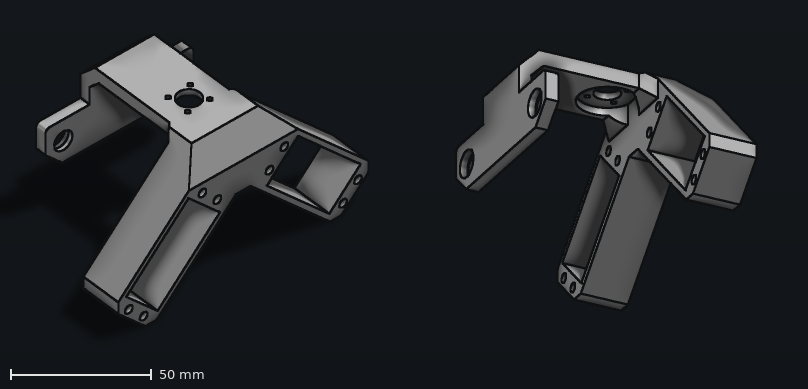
import cadquery as cq

length = 72.0
half_width = 59.2
height = 61.8

strap_half_width = 14.1
strap_thickness = 6.0
strap_outer_chamfer = 7.9
strap_inner_chamfer = 4.9
flare = 5.0

plate_thickness = 5.1
plate_half_width = 35.1
plate_bottom = 22.9
plate_top = 42.9
plate_chamfer = 7.9
plate_corner_radius = 2.1
bore_offset = 26.5
bore_diameter = 8.5
counterbore_diameter = 10.5
counterbore_depth = 3.0

frame_depth = 19.0
frame_start = length - frame_depth
roof_half_width = 15.8
roof_chamfer = 10.1
arm_side_bottom = 12.8
foot_inner = 41.0
crotch_height = 37.5
arm_angle = 45

window_y = 33.3
window_z = 26.2
window_length = 41.7
window_width = 21.0
screw_diameter = 3.5
screw_offset = 24.6
screw_spacing = 10.0

hub_x = 42.6
hub_diameter = 10.0
hub_web_thickness = 3.0
hub_recess_diameter = 22.5
hub_screw_diameter = 2.0
hub_screw_spacing = 10.5


def mirrored_outline(half_points):
    """Close a half outline with its mirror image across the XZ plane."""
    return half_points + [(-y, z) for y, z in reversed(half_points)]


def extrude_along_x(points, start, depth):
    return cq.Workplane("YZ", origin=(start, 0, 0)).polyline(points).close().extrude(depth)


def make_frame_outline():
    eave = height - (half_width - roof_half_width)
    return mirrored_outline([
        (roof_half_width, height),
        (half_width, eave),
        (half_width, arm_side_bottom),
        (half_width - arm_side_bottom, 0),
        (foot_inner, 0),
        (foot_inner - crotch_height, crotch_height),
    ])


def make_frame():
    frame = extrude_along_x(make_frame_outline(), frame_start, frame_depth)
    roof_corner = (
        cq.Workplane("XZ")
        .polyline([
            (length - roof_chamfer, height),
            (length, height),
            (length, height - roof_chamfer),
        ])
        .close()
        .extrude(half_width, both=True)
    )
    frame = frame.cut(roof_corner)
    for side in (1, -1):
        arm_plane = (
            cq.Workplane("YZ", origin=(frame_start, 0, 0))
            .center(side * window_y, window_z)
            .transformed(rotate=(0, 0, -side * arm_angle))
        )
        window = arm_plane.rect(window_length, window_width).extrude(frame_depth)
        screws = (
            arm_plane.rect(2 * screw_offset, screw_spacing, forConstruction=True)
            .vertices()
            .circle(screw_diameter / 2)
            .extrude(frame_depth)
        )
        frame = frame.cut(window).cut(screws)
    return frame


def make_strap():
    underside = height - strap_thickness
    flare_start = frame_start - flare
    profile = (
        cq.Workplane("XZ")
        .polyline([
            (0, plate_top),
            (0, height - strap_outer_chamfer),
            (strap_outer_chamfer, height),
            (frame_start, height),
            (frame_start, underside - flare),
            (flare_start, underside),
            (plate_thickness + strap_inner_chamfer, underside),
            (plate_thickness, underside - strap_inner_chamfer),
            (plate_thickness, plate_top),
        ])
        .close()
        .extrude(half_width, both=True)
    )
    plan = (
        cq.Workplane("XY")
        .polyline([
            (0, -strap_half_width),
            (flare_start, -strap_half_width),
            (frame_start, -strap_half_width - flare),
            (frame_start, strap_half_width + flare),
            (flare_start, strap_half_width),
            (0, strap_half_width),
        ])
        .close()
        .extrude(height)
    )
    roof = extrude_along_x(
        mirrored_outline([(roof_half_width, height), (roof_half_width + height, 0)]), 0, length
    )
    return profile.intersect(plan).intersect(roof)


def make_plate():
    outline = mirrored_outline([
        (plate_half_width, plate_top),
        (plate_half_width, plate_bottom + plate_chamfer),
        (plate_half_width - plate_chamfer, plate_bottom),
    ])
    plate = extrude_along_x(outline, 0, plate_thickness)
    return plate.edges("|X and >Z").fillet(plate_corner_radius)


def make_plate_bores():
    centres = [(side * bore_offset, (plate_bottom + plate_top) / 2) for side in (1, -1)]
    face = cq.Workplane("YZ").pushPoints(centres)
    bores = face.circle(bore_diameter / 2).extrude(plate_thickness)
    counterbores = face.circle(counterbore_diameter / 2).extrude(counterbore_depth)
    return bores.union(counterbores)


def make_hub_holes():
    top = cq.Workplane("XY", origin=(hub_x, 0, height))
    hub = top.circle(hub_diameter / 2).extrude(-strap_thickness)
    screws = (
        top.rect(hub_screw_spacing, hub_screw_spacing, forConstruction=True)
        .vertices()
        .circle(hub_screw_diameter / 2)
        .extrude(-strap_thickness)
    )
    recess = (
        top.workplane(offset=-hub_web_thickness)
        .circle(hub_recess_diameter / 2)
        .extrude(-height)
    )
    return hub.union(screws).union(recess)


result = (
    make_frame()
    .union(make_strap().cut(make_hub_holes()))
    .union(make_plate())
    .cut(make_plate_bores())
)